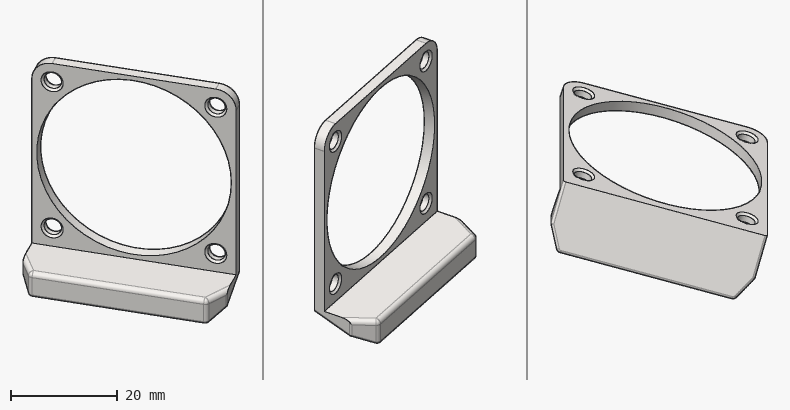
import cadquery as cq
import math

width = 40.0
depth = 12.65
height = 45.3

plate_thickness = 2.2
corner_radius = 4.0
opening_front_diameter = 38.05
opening_back_diameter = 37.75

hole_diameter = 3.4
countersink_diameter = 4.3
countersink_angle = math.radians(90)

underside_angle = math.radians(20)
corner_cut_depth = 4.57
corner_cut_angle = math.radians(60)
lip_radius = 1.0
underside_radius = 0.5

lip_top = height - width
opening_height = height - width / 2
half_width = width / 2
front_y = -depth
plate_front_y = -plate_thickness
corner_cut_width = corner_cut_depth / math.tan(corner_cut_angle)

front_corner_drop = underside_radius * (
    math.tan(underside_angle) + 1 / math.cos(underside_angle) - 1
)
underside_back_z = depth * math.tan(underside_angle) - front_corner_drop


def make_plate():
    """Square plate with two rounded top corners."""
    return (
        cq.Workplane("XY")
        .box(width, plate_thickness, width, centered=(True, False, False))
        .translate((0, plate_front_y, lip_top))
        .edges("|Y and >Z")
        .fillet(corner_radius)
    )


def make_lip():
    """Wedge with cut front corners and rounded edges."""
    wedge = (
        cq.Workplane("YZ")
        .moveTo(0, lip_top)
        .lineTo(front_y, lip_top)
        .lineTo(front_y, -front_corner_drop)
        .lineTo(0, underside_back_z)
        .close()
        .extrude(half_width, both=True)
    )
    cut_back_y = front_y + corner_cut_depth
    cut_front_x = half_width - corner_cut_width
    footprint = (
        cq.Workplane("XY")
        .workplane(offset=-front_corner_drop)
        .moveTo(-half_width, 0)
        .lineTo(-half_width, cut_back_y)
        .lineTo(-cut_front_x, front_y)
        .lineTo(cut_front_x, front_y)
        .lineTo(half_width, cut_back_y)
        .lineTo(half_width, 0)
        .close()
        .extrude(lip_top + front_corner_drop)
    )
    lip = wedge.intersect(footprint)
    lip = lip.edges("|Z and <Y").fillet(lip_radius)
    lip = lip.faces(">Z").edges("not (>Y or <X or >X)").fillet(lip_radius)
    underside = lip.faces().filter(lambda face: face.normalAt().z < -0.9)
    lip = underside.edges("not >Y").fillet(underside_radius)

    side_corners = footprint.edges("|Z").edges("<X or >X").edges("<Y")
    return lip.intersect(side_corners.fillet(lip_radius))


def make_opening():
    """Round opening that narrows slightly toward the back."""
    return (
        cq.Workplane("XZ", origin=(0, plate_front_y, opening_height))
        .circle(opening_front_diameter / 2)
        .workplane(offset=-plate_thickness)
        .circle(opening_back_diameter / 2)
        .loft()
    )


def make_screw_hole_cutter():
    """Half section through a hole countersunk on both faces, revolved about Y."""
    hole_radius = hole_diameter / 2
    rim_radius = countersink_diameter / 2
    countersink_depth = (rim_radius - hole_radius) / math.tan(countersink_angle / 2)
    return (
        cq.Workplane("XY")
        .moveTo(0, 0)
        .lineTo(rim_radius, 0)
        .lineTo(hole_radius, -countersink_depth)
        .lineTo(hole_radius, plate_front_y + countersink_depth)
        .lineTo(rim_radius, plate_front_y)
        .lineTo(0, plate_front_y)
        .close()
        .revolve(360, (0, 0, 0), (0, 1, 0))
    )


result = make_plate().union(make_lip()).cut(make_opening())

screw_hole = make_screw_hole_cutter()
screw_offset = half_width - corner_radius
for x_side in (-1, 1):
    for z_side in (-1, 1):
        position = (x_side * screw_offset, 0, opening_height + z_side * screw_offset)
        result = result.cut(screw_hole.translate(position))